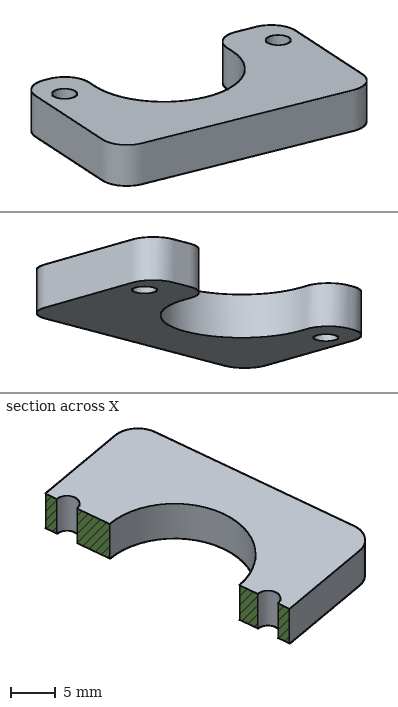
import cadquery as cq

width = 20.47
length = 34.0
thickness = 5.0
corner_radius = 3.15

notch_radius = 9.0
lower_arm_width = 7.0
notch_center_x = 4.42
notch_center_y = lower_arm_width + notch_radius
notch_top_y = lower_arm_width + 2 * notch_radius

hole_diameter = 2.8
hole_edge_distance = 3.03
hole_centers = [
    (notch_center_x, hole_edge_distance),
    (notch_center_x, length - hole_edge_distance),
]

plate = (
    cq.Workplane("XY")
    .moveTo(0, 0)
    .lineTo(width, 0)
    .lineTo(width, length)
    .lineTo(0, length)
    .lineTo(0, notch_top_y)
    .lineTo(notch_center_x, notch_top_y)
    .threePointArc(
        (notch_center_x + notch_radius, notch_center_y),
        (notch_center_x, lower_arm_width),
    )
    .lineTo(0, lower_arm_width)
    .close()
    .extrude(thickness)
)

outer_corners = plate.edges("|Z and (<X or >X)")
plate = outer_corners.fillet(corner_radius)

result = (
    plate.faces(">Z")
    .workplane(origin=(0, 0, thickness))
    .pushPoints(hole_centers)
    .hole(hole_diameter)
)